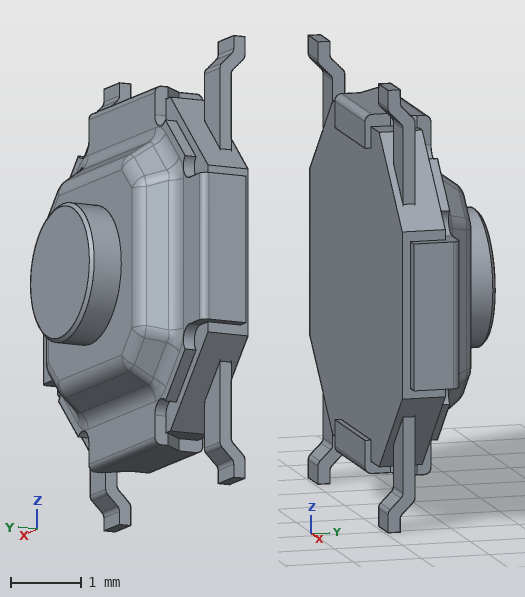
import cadquery as cq
import math


base_width = 4.84
base_half = base_width / 2
base_thickness = 0.635
base_chamfer = 1.21

cover_width = 5.2
cover_half = cover_width / 2
plate_thickness = 0.17
plate_top = base_thickness + plate_thickness
corner_line = 3.44
relief_radius = 0.2
bend_radius = 0.1
tab_half_width = 1.06
side_tab_end = 0.12
hook_half_width = 0.79
hook_reach = 0.485
hook_thickness = 0.09
hook_shoulder = 0.6
hook_neck = 0.29

dome_height = 0.5
dome_half = 1.84
dome_chamfer = 0.62
dome_taper = 35
dome_corner_radius = 0.29
dome_rim_radius = 0.28
dome_foot_radius = 0.28
dome_top = plate_top + dome_height
selection_margin = 0.005

button_radius = 1.0
button_height = 0.48
button_chamfer = 0.05

terminal_span = 6.4
terminal_spacing = 3.675
terminal_width = 0.505
terminal_thickness = 0.18
terminal_drop = 0.22
terminal_foot_length = 0.23
terminal_bend_radius = 0.1
terminal_bottom = -0.115
terminal_inner_end = 1.28


def octagon(half, chamfer):
    """Square outline with cut corners, facing +Y."""
    return cq.Workplane("ZX").polyline([
        (half, half - chamfer), (half - chamfer, half),
        (chamfer - half, half), (-half, half - chamfer),
        (-half, chamfer - half), (chamfer - half, -half),
        (half - chamfer, -half), (half, chamfer - half),
    ]).close()


def make_terminal(x_side, z_side):
    """Z-bent strip from inside the base out to a solder foot."""
    foot_bottom = terminal_bottom
    foot_top = foot_bottom + terminal_thickness
    leg_bottom = foot_bottom + terminal_drop
    leg_top = foot_top + terminal_drop
    tip = terminal_span / 2
    front_bend = tip - terminal_foot_length
    back_bend = front_bend - terminal_thickness * math.tan(math.radians(45 / 2))
    strip = (
        cq.Workplane("YZ")
        .polyline([
            (leg_top, terminal_inner_end), (leg_top, front_bend - terminal_drop),
            (foot_top, front_bend), (foot_top, tip),
            (foot_bottom, tip), (foot_bottom, back_bend),
            (leg_bottom, back_bend - terminal_drop), (leg_bottom, terminal_inner_end),
        ])
        .close()
        .extrude(terminal_width / 2, both=True)
    )
    strip = strip.edges("|X").edges("not (<Z or >Z)").fillet(terminal_bend_radius)
    if z_side < 0:
        strip = strip.mirror("XY")
    return strip.translate((x_side * terminal_spacing / 2, 0, 0))


def make_base(terminals):
    """Octagonal block with a matching pocket for each terminal."""
    base = octagon(base_half, base_chamfer).extrude(base_thickness)
    for terminal in terminals:
        base = base.cut(terminal)
    return base


def turned(point, quarter_turns):
    """Point turned about the button axis by a number of quarter turns."""
    u, v = point
    for _ in range(quarter_turns):
        u, v = -v, u
    return u, v


def relief_point(angle):
    """Point on the relief beside the first tab, at an angle in degrees about the relief's centre."""
    centre_v = tab_half_width + relief_radius
    centre_u = corner_line - centre_v
    return (
        centre_u + relief_radius * math.cos(math.radians(angle)),
        centre_v + relief_radius * math.sin(math.radians(angle)),
    )


def make_plate():
    """Flat sheet with cut corners and a round relief on both sides of each tab root."""
    tab_root = (base_half, tab_half_width)
    tab_end = relief_point(-90)
    middle = relief_point(-157.5)
    corner_end = relief_point(-225)
    outline = cq.Workplane("ZX").moveTo(base_half, -tab_half_width)
    for quarter in range(4):
        outline = (
            outline
            .lineTo(*turned(tab_root, quarter))
            .lineTo(*turned(tab_end, quarter))
            .threePointArc(turned(middle, quarter), turned(corner_end, quarter))
            .lineTo(*turned(corner_end[::-1], quarter))
            .threePointArc(turned(middle[::-1], quarter), turned(tab_end[::-1], quarter))
            .lineTo(*turned(tab_root[::-1], quarter))
        )
    return outline.close().extrude(plate_thickness).translate((0, base_thickness, 0))


def make_side_tab():
    """Straight tab folded down over the +X side of the base."""
    return (
        cq.Workplane("XY")
        .moveTo(base_half, side_tab_end)
        .lineTo(cover_half, side_tab_end)
        .lineTo(cover_half, plate_top - bend_radius)
        .radiusArc((cover_half - bend_radius, plate_top), -bend_radius)
        .lineTo(base_half, plate_top)
        .close()
        .extrude(tab_half_width, both=True)
    )


def make_hook_tab():
    """Tab folded over the +Z side of the base, narrowed to a hook that grips its back face."""
    profile = (
        cq.Workplane("YZ")
        .moveTo(plate_top, base_half)
        .lineTo(plate_top, cover_half - bend_radius)
        .radiusArc((plate_top - bend_radius, cover_half), -bend_radius)
        .lineTo(bend_radius - hook_thickness, cover_half)
        .radiusArc((-hook_thickness, cover_half - bend_radius), -bend_radius)
        .lineTo(-hook_thickness, cover_half - hook_reach)
        .lineTo(0, cover_half - hook_reach)
        .lineTo(0, base_half)
        .close()
        .extrude(tab_half_width, both=True)
    )
    face = (
        cq.Workplane("XY")
        .polyline([
            (tab_half_width, plate_top), (tab_half_width, hook_shoulder),
            (hook_half_width, hook_neck), (hook_half_width, -hook_thickness),
            (-hook_half_width, -hook_thickness), (-hook_half_width, hook_neck),
            (-tab_half_width, hook_shoulder), (-tab_half_width, plate_top),
        ])
        .close()
        .extrude(cover_half)
    )
    return profile.intersect(face)


def make_dome():
    """Tapered octagonal rise with a rounded rim and corners."""
    dome = octagon(dome_half, dome_chamfer).extrude(dome_height, taper=dome_taper)
    slanted_edges = "not #Y"
    dome = dome.edges(slanted_edges).fillet(dome_corner_radius)
    dome = dome.faces(">Y").edges().fillet(dome_rim_radius)
    return dome.translate((0, plate_top, 0))


def make_cover():
    """Domed sheet whose four tabs fold over the base."""
    domed_plate = make_plate().union(make_dome())
    reach = dome_half + selection_margin
    foot_of_dome = cq.selectors.BoxSelector(
        (-reach, plate_top - selection_margin, -reach),
        (reach, plate_top + selection_margin, reach),
        boundingbox=True,
    )
    cover = domed_plate.edges(foot_of_dome).fillet(dome_foot_radius)
    side_tab = make_side_tab()
    hook_tab = make_hook_tab()
    return (
        cover
        .union(side_tab).union(side_tab.mirror("YZ"))
        .union(hook_tab).union(hook_tab.mirror("XY"))
    )


def make_button():
    """Round button standing on the dome."""
    return (
        cq.Workplane("ZX")
        .circle(button_radius)
        .extrude(button_height)
        .faces(">Y")
        .chamfer(button_chamfer)
        .translate((0, dome_top, 0))
    )


terminals = [make_terminal(x_side, z_side) for x_side in (1, -1) for z_side in (1, -1)]
base = make_base(terminals)
cover = make_cover()
button = make_button()

result = cq.Compound.makeCompound(
    [base.val(), cover.val(), button.val(), *[terminal.val() for terminal in terminals]]
)